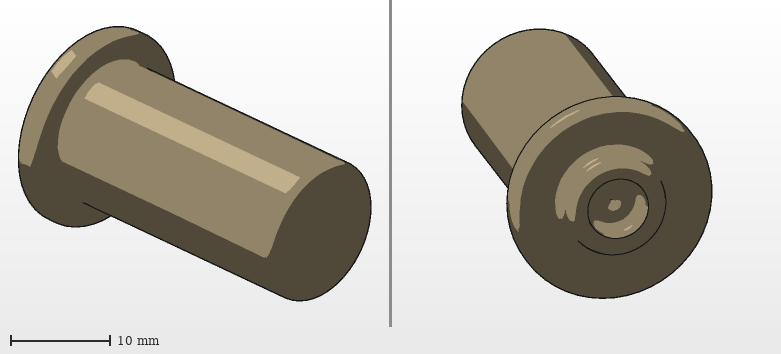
import cadquery as cq

edge_radius = 1.0

total_length = 35.05
flange_thickness = 3.0
flange_front = 2 * edge_radius
flange_back = flange_front + flange_thickness
recess_floor = 2.05
dimple_tip = recess_floor + edge_radius

flange_radius = 21.0 / 2
body_radius = 7.5
nose_radius = 5.2
recess_radius = 3.15

CONVEX = edge_radius
HOLLOW = -edge_radius

half_section = (
    cq.Workplane("XY")
    .moveTo(dimple_tip, 0)
    .radiusArc((recess_floor, edge_radius), CONVEX)
    .lineTo(recess_floor, recess_radius - edge_radius)
    .radiusArc((recess_floor - edge_radius, recess_radius), HOLLOW)
    .lineTo(0, recess_radius)
    .lineTo(0, nose_radius - edge_radius)
    .radiusArc((edge_radius, nose_radius), CONVEX)
    .radiusArc((flange_front, nose_radius + edge_radius), HOLLOW)
    .lineTo(flange_front, flange_radius - edge_radius)
    .radiusArc((flange_front + edge_radius, flange_radius), CONVEX)
    .lineTo(flange_back - edge_radius, flange_radius)
    .radiusArc((flange_back, flange_radius - edge_radius), CONVEX)
    .lineTo(flange_back, body_radius + edge_radius)
    .radiusArc((flange_back + edge_radius, body_radius), HOLLOW)
    .lineTo(total_length - edge_radius, body_radius)
    .radiusArc((total_length, body_radius - edge_radius), CONVEX)
    .lineTo(total_length, 0)
    .close()
)

result = half_section.revolve(360, (0, 0, 0), (1, 0, 0))